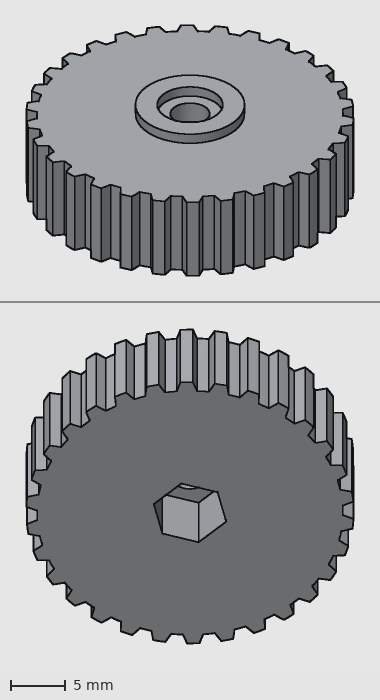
import cadquery as cq
import math

tooth_count = 30
outer_radius = 15.0
tooth_depth = 1.0
root_radius = outer_radius - tooth_depth
tip_half_width = 0.57
root_half_width = 0.93
wheel_height = 8.0

total_height = 9.0
boss_diameter = 10.0
bore_diameter = 3.6
recess_diameter = 6.0
recess_depth = 1.0
hex_pocket_across_flats = 6.0
hex_pocket_depth = 6.0


def point_on_circle(radius, angle):
    return (radius * math.cos(angle), radius * math.sin(angle))


def toothed_wheel():
    """Disc with straight-flanked teeth; the first tooth is centred on +X."""
    pitch_angle = 2 * math.pi / tooth_count
    tip_half_angle = math.asin(tip_half_width / outer_radius)
    root_half_angle = math.asin(root_half_width / root_radius)

    outline = cq.Workplane("XY").moveTo(*point_on_circle(root_radius, -root_half_angle))
    for index in range(tooth_count):
        center = index * pitch_angle
        gap_center = center + pitch_angle / 2
        next_tooth_start = center + pitch_angle - root_half_angle
        outline = (
            outline.lineTo(*point_on_circle(outer_radius, center - tip_half_angle))
            .threePointArc(
                point_on_circle(outer_radius, center),
                point_on_circle(outer_radius, center + tip_half_angle),
            )
            .lineTo(*point_on_circle(root_radius, center + root_half_angle))
            .threePointArc(
                point_on_circle(root_radius, gap_center),
                point_on_circle(root_radius, next_tooth_start),
            )
        )
    return outline.close().extrude(wheel_height)


def cylinder(diameter, bottom, top):
    """Cylinder on the wheel axis between two heights."""
    return cq.Workplane("XY").workplane(offset=bottom).circle(diameter / 2).extrude(top - bottom)


def hexagonal_prism(across_flats, height):
    """Hexagonal prism standing on Z = 0, with two corners on the X axis."""
    across_corners = across_flats / math.cos(math.pi / 6)
    return cq.Workplane("XY").polygon(6, across_corners).extrude(height)


boss = cylinder(boss_diameter, 0, total_height)
bore = cylinder(bore_diameter, 0, total_height)
top_recess = cylinder(recess_diameter, total_height - recess_depth, total_height)
hex_pocket = hexagonal_prism(hex_pocket_across_flats, hex_pocket_depth)

result = toothed_wheel().union(boss).cut(bore).cut(top_recess).cut(hex_pocket)